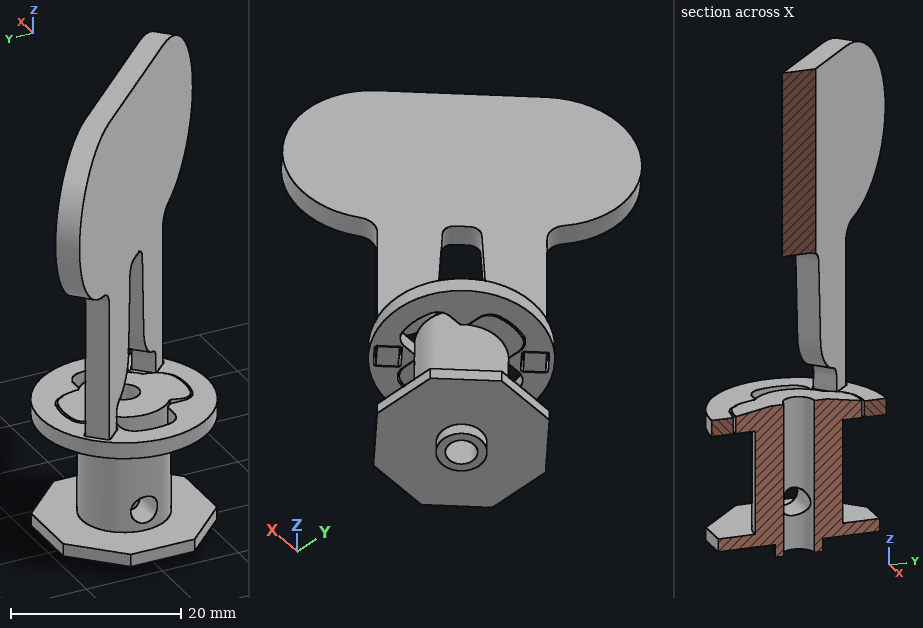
import cadquery as cq
import math

stub_height = 1.6
flange_thickness = 1.67
barrel_length = 12.85
disc_thickness = 2.1
crown_rise = 0.86
flange_top = stub_height + flange_thickness
disc_bottom = flange_top + barrel_length
disc_top = disc_bottom + disc_thickness
crown_top = disc_top + crown_rise
overall_height = 60.58

stub_diameter = 6.0
flange_sides = 8
flange_across_flats = 20.3
barrel_diameter = 11.1
bore_diameter = 3.8
pin_hole_diameter = 3.5
pin_hole_height = 6.0
lobe_width = 7.1
lobe_reach = 7.95
lobe_corner_radius = 2.0
crown_flat_diameter = 7.1
crown_angle = 10.0

disc_diameter = 22.0
lobe_end_clearance = 0.25
lobe_side_clearance = 0.05
leg_slot_end_clearance = 0.3
leg_slot_side_clearance = 0.15
leg_slot_corner_radius = 0.45

key_thickness = 3.0
key_angle = -45.0
head_radius = 11.19
leg_outer = 10.0
leg_inner = 7.35
neck_fillet = 2.5
gap_top = 37.55
gap_top_half_width = 2.25
gap_top_fillet = 1.5
taper_end_height = 26.0
taper_end_half_width = 2.82
flare_radius = 5.0
flare_end_radius = 1.3


def crossbar(reach, width, bottom, height):
    """A bar along Y through the Z axis, with arched ends and rounded vertical corners."""
    bar = cq.Workplane("XY", origin=(0, 0, bottom)).rect(width, 2 * reach).extrude(height)
    arch = cq.Workplane("XY", origin=(0, 0, bottom)).circle(reach).extrude(height)
    return bar.intersect(arch).edges("|Z").fillet(lobe_corner_radius)


def make_spindle():
    stub = cq.Workplane("XY").circle(stub_diameter / 2).extrude(flange_top)
    half_side_angle = 180 / flange_sides
    corner_diameter = flange_across_flats / math.cos(math.radians(half_side_angle))
    flange = (
        cq.Workplane("XY", origin=(0, 0, stub_height))
        .polygon(flange_sides, corner_diameter)
        .extrude(flange_thickness)
        .rotate((0, 0, 0), (0, 0, 1), half_side_angle)
    )
    barrel = (
        cq.Workplane("XY", origin=(0, 0, flange_top))
        .circle(barrel_diameter / 2)
        .extrude(crown_top - flange_top)
    )
    lobes = crossbar(lobe_reach, lobe_width, disc_bottom, crown_top - disc_bottom)
    body = stub.union(flange).union(barrel.union(lobes).intersect(make_crown_envelope()))
    bore = cq.Workplane("XY").circle(bore_diameter / 2).extrude(crown_top)
    pin_hole = (
        cq.Workplane("YZ", origin=(-barrel_diameter, 0, pin_hole_height))
        .circle(pin_hole_diameter / 2)
        .extrude(barrel_diameter)
    )
    return body.cut(bore).cut(pin_hole)


def make_crown_envelope():
    """Revolved volume whose top is a flat centre with a shallow cone around it."""
    flat_radius = crown_flat_diameter / 2
    rim_radius = disc_diameter / 2
    rim_height = crown_top - (rim_radius - flat_radius) * math.tan(math.radians(crown_angle))
    return (
        cq.Workplane("XZ")
        .moveTo(0, flange_top)
        .lineTo(rim_radius, flange_top)
        .lineTo(rim_radius, rim_height)
        .lineTo(flat_radius, crown_top)
        .lineTo(0, crown_top)
        .close()
        .revolve(360, (0, 0, 0), (0, 1, 0))
    )


def make_disc():
    disc = (
        cq.Workplane("XY", origin=(0, 0, disc_bottom))
        .circle(disc_diameter / 2)
        .circle(barrel_diameter / 2)
        .extrude(disc_thickness)
    )
    for angle in (0, 90):
        slot = crossbar(
            lobe_reach + lobe_end_clearance,
            lobe_width + 2 * lobe_side_clearance,
            disc_bottom,
            disc_thickness,
        )
        disc = disc.cut(slot.rotate((0, 0, 0), (0, 0, 1), angle))
    leg_middle = (leg_outer + leg_inner) / 2
    leg_slots = (
        cq.Workplane("XY", origin=(0, 0, disc_bottom))
        .pushPoints([(-leg_middle, 0), (leg_middle, 0)])
        .rect(
            leg_outer - leg_inner + 2 * leg_slot_end_clearance,
            key_thickness + 2 * leg_slot_side_clearance,
        )
        .extrude(disc_thickness)
        .edges("|Z")
        .fillet(leg_slot_corner_radius)
        .rotate((0, 0, 0), (0, 0, 1), key_angle)
    )
    return disc.cut(leg_slots)


def make_leg_gap():
    """Void between the legs: a narrow taper that flares out above the disc."""
    taper_angle = math.atan2(taper_end_half_width - gap_top_half_width, gap_top - taper_end_height)
    flare_x = taper_end_half_width + flare_radius * math.cos(taper_angle)
    flare_z = taper_end_height + flare_radius * math.sin(taper_angle)
    end_x = leg_inner - flare_end_radius
    centre_distance = flare_radius + flare_end_radius
    end_z = flare_z - math.sqrt(centre_distance**2 - (flare_x - end_x) ** 2)
    meet_angle = math.atan2(end_z - flare_z, end_x - flare_x) % (2 * math.pi)
    flare_middle_angle = (math.pi + taper_angle + meet_angle) / 2
    end_middle_angle = (meet_angle - math.pi) / 2

    def on_flare(angle):
        return flare_x + flare_radius * math.cos(angle), flare_z + flare_radius * math.sin(angle)

    def on_end(angle):
        return end_x + flare_end_radius * math.cos(angle), end_z + flare_end_radius * math.sin(angle)

    half_gap = (
        cq.Workplane("XZ")
        .moveTo(0, gap_top)
        .lineTo(gap_top_half_width, gap_top)
        .lineTo(*on_flare(math.pi + taper_angle))
        .threePointArc(on_flare(flare_middle_angle), on_flare(meet_angle))
        .threePointArc(on_end(end_middle_angle), on_end(0))
        .lineTo(leg_inner, disc_bottom)
        .lineTo(0, disc_bottom)
        .close()
        .extrude(key_thickness / 2, both=True)
    )
    top_corner = cq.selectors.NearestToPointSelector((gap_top_half_width, 0, gap_top))
    half_gap = half_gap.edges("|Y").edges(top_corner).fillet(gap_top_fillet)
    return half_gap.union(half_gap.mirror("YZ"))


def make_key():
    head_centre = overall_height - head_radius
    head = (
        cq.Workplane("XZ", origin=(0, 0, head_centre))
        .slot2D(2 * (leg_outer + head_radius), 2 * head_radius)
        .extrude(key_thickness / 2, both=True)
    )
    legs = cq.Workplane("XY", origin=(0, 0, disc_bottom)).rect(2 * leg_outer, key_thickness)
    key = head.union(legs.extrude(head_centre - disc_bottom))
    neck_height = head_centre - head_radius
    for side in (-1, 1):
        neck = cq.selectors.NearestToPointSelector((side * leg_outer, 0, neck_height))
        key = key.edges("|Y").edges(neck).fillet(neck_fillet)
    return key.cut(make_leg_gap()).rotate((0, 0, 0), (0, 0, 1), key_angle)


spindle = make_spindle()
disc = make_disc()
key = make_key()

result = cq.Compound.makeCompound([*spindle.solids().vals(), *disc.solids().vals(), *key.solids().vals()])